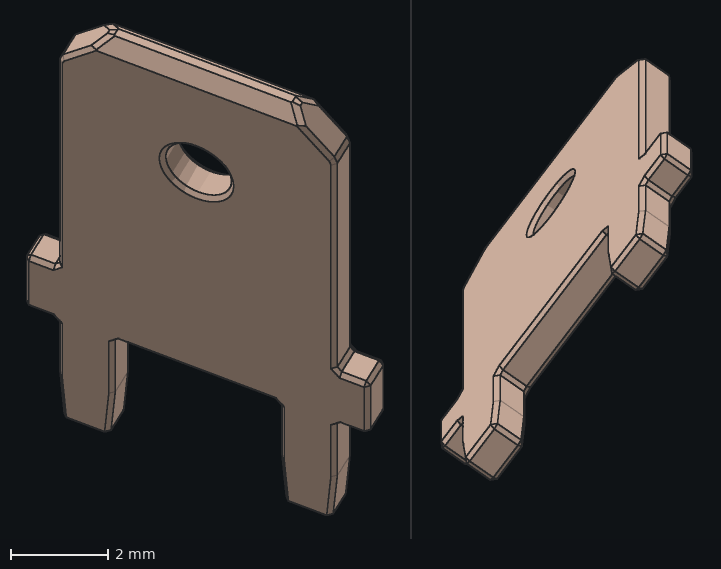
import cadquery as cq

total_height = 12.7
thickness = 0.8
shoulder_width = 7.87
blade_width = 6.35

shoulder_bottom = 3.2
shoulder_top = 4.83

leg_width = 1.27
leg_tip_width = 1.06
leg_taper_height = 1.42

corner_cut = 1.04
tip_bevel = 0.3

hole_diameter = 1.5
hole_height = 9.67

edge_break = 0.1

TOLERANCE = 1e-4


def make_blank():
    """Flat sharp-edged plate: blade, shoulders and two tapered legs."""
    blade_side = blade_width / 2
    shoulder_side = shoulder_width / 2
    leg_inner = blade_side - leg_width
    leg_inset = (leg_width - leg_tip_width) / 2
    right_half = [
        (0, shoulder_bottom),
        (leg_inner, shoulder_bottom),
        (leg_inner, leg_taper_height),
        (leg_inner + leg_inset, 0),
        (blade_side - leg_inset, 0),
        (blade_side, leg_taper_height),
        (blade_side, shoulder_bottom),
        (shoulder_side, shoulder_bottom),
        (shoulder_side, shoulder_top),
        (blade_side, shoulder_top),
        (blade_side, total_height),
        (0, total_height),
    ]
    return (
        cq.Workplane("XZ")
        .polyline(right_half)
        .mirrorY()
        .extrude(thickness / 2, both=True)
    )


def shape_tip(plate):
    """Bevel the insertion edge on both faces, then cut the two corners."""
    plate = plate.faces(">Z").edges("|X").chamfer(tip_bevel)
    corner_cutter = (
        cq.Workplane("XZ")
        .moveTo(blade_width / 2, total_height)
        .lineTo(blade_width / 2 - corner_cut, total_height)
        .lineTo(blade_width / 2, total_height - corner_cut)
        .close()
        .extrude(thickness / 2, both=True)
    )
    return plate.cut(corner_cutter).cut(corner_cutter.mirror("YZ"))


def add_hole(plate):
    """Drill the hole through the full thickness and chamfer both rims."""
    drill = (
        cq.Workplane("XZ")
        .center(0, hole_height)
        .circle(hole_diameter / 2)
        .extrude(thickness / 2, both=True)
    )
    return plate.cut(drill).edges("%CIRCLE").chamfer(edge_break)


def is_broken_edge(edge):
    """True for every edge but the tip bevel lines and the leg taper bends."""
    middle = edge.Center()
    on_tip_bevel = (
        abs(middle.x) < TOLERANCE
        and middle.z > total_height - tip_bevel - TOLERANCE
    )
    on_taper_bend = (
        abs(middle.y) < TOLERANCE
        and abs(middle.z - leg_taper_height) < TOLERANCE
    )
    return not (on_tip_bevel or on_taper_bend)


def break_edges(plate):
    """Chamfer the rims of the outline and its convex and concave corners."""
    edges = [edge for edge in plate.edges().vals() if is_broken_edge(edge)]
    return plate.newObject(edges).chamfer(edge_break)


result = add_hole(break_edges(shape_tip(make_blank())))